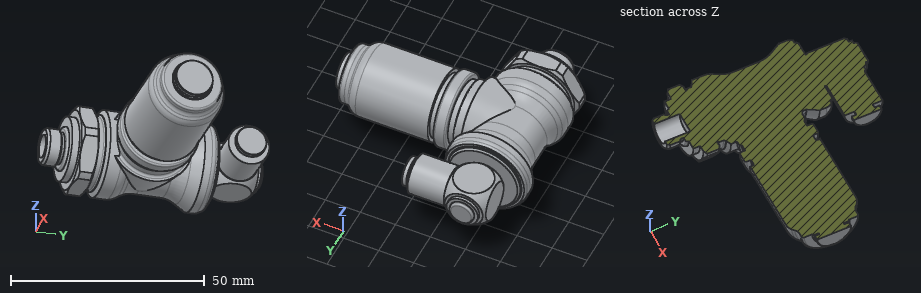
import cadquery as cq
import math


Y_AXIS = cq.Vector(0, 1, 0)
X_AXIS = cq.Vector(1, 0, 0)

head_radius = 11.95
base_radius = 11.45
waist_radius = 9.05
waist_bottom = -0.35
waist_top = 6.85
flare_angle = math.radians(30)
flare_blend_radius = 8.05
head_rim_bottom = 14.0
head_rim_top = 15.95
head_shoulder_radius = 11.2
head_shoulder_y = 17.85
head_blend_radius = 11.65
head_blend_y = 17.05
head_lip_root_radius = 10.5
head_lip_radius = 10.3
head_lip_y = 18.2
head_top_radius = 9.7
head_top = 18.7
base_top = -7.75
base_bottom = -11.3
base_round_radius = 4.25
base_cone_y = -12.0
base_end = -12.15
nut_neck_radius = 9.6
nut_neck_round = 0.5
nut_gap = 0.1
nut_gap_radius = 9.1

nut_top = -14.1
nut_bottom = -18.75
nut_flat_to_flat = 21.0
nut_corner_radius = 11.5
nut_face_radius = 10.45
nut_chamfer_angle = math.radians(30)
collar_radius = 8.5
collar_bottom = -20.7
seal_radius = 5.8
seal_bottom = -21.4
seal_round = 0.65
relief_radius = 4.25
relief_bottom = -21.95
thread_lead_in_y = -22.2
thread_end_radius = 4.3
thread_top = -22.55
thread_radius = 4.85
thread_chamfer_start = -25.5
stud_bottom = -26.2
bore_radius = 3.05
bore_depth = 7.3

elbow_half_width = 6.0
elbow_face_radius = 5.4
elbow_y = 24.5
elbow_collar_radius = 4.5
elbow_collar_top = 31.4
elbow_cap_radius = 3.45
elbow_cap_top = 32.35
elbow_cap_round = 0.55
tube_radius = 5.5
tube_end = 16.3
tube_neck_radius = 2.65
tube_ring_radius = 4.05
tube_ring_start = 17.3
tube_ring_end = 18.7

branch_cone_end = 10.2
branch_cone_radius = 11.1
branch_step_radius = 9.6
branch_step_round = 0.7
branch_step_end = 13.0
branch_neck_radius = 9.0
band_start = 14.8
band_end = 18.3
band_radius = 10.7
band_round = 0.5
sleeve_start = 20.0
sleeve_radius = 10.1
sleeve_round_start = 40.75
sleeve_cone_start = 42.9
sleeve_cone_start_radius = 9.4
sleeve_cone_length = 0.6
nose_start = 44.8
nose_radius = 8.2
nose_end = 46.6
nose_round = 0.55
end_disc_radius = 5.35
end_disc_end = 47.0
branch_end = 48.7
end_neck_radius = 3.65
end_ring_radius = 5.0
end_ring_start = 47.25
ring_chamfer = 0.1


def cylinder(axis, radius, start, end, origin=cq.Vector(0, 0, 0)):
    """Round bar along the axis, from start to end measured from the origin."""
    solid = cq.Solid.makeCylinder(radius, end - start, origin + axis * start, axis)
    return cq.Workplane(obj=solid)


def revolve_about_y(profile):
    return profile.close().revolve(360, (0, 0, 0), (0, 1, 0))


def revolve_about_x(profile):
    return profile.close().revolve(360, (0, 0, 0), (1, 0, 0))


def column_body():
    """Waisted body: both ends flare out of the waist through an arc and a cone."""
    blend_height = flare_blend_radius * math.sin(flare_angle)
    blend_rise = flare_blend_radius * (1 - math.cos(flare_angle))
    cone_root_radius = waist_radius + blend_rise
    round_height = base_round_radius * math.sin(flare_angle)
    round_drop = base_round_radius * (1 - math.cos(flare_angle))
    base_end_radius = nut_neck_radius + nut_neck_round
    profile = (
        cq.Workplane("XY")
        .moveTo(0, nut_top)
        .lineTo(nut_gap_radius, nut_top)
        .lineTo(nut_gap_radius, nut_top + nut_gap)
        .lineTo(nut_neck_radius, nut_top + nut_gap)
        .lineTo(nut_neck_radius, base_end - nut_neck_round)
        .tangentArcPoint((base_end_radius, base_end), relative=False)
        .lineTo(base_end_radius, base_cone_y)
        .lineTo(base_radius, base_bottom)
        .lineTo(base_radius, base_top)
        .tangentArcPoint((base_radius - round_drop, base_top + round_height), relative=False)
        .lineTo(cone_root_radius, waist_bottom - blend_height)
        .tangentArcPoint((waist_radius, waist_bottom), relative=False)
        .lineTo(waist_radius, waist_top)
        .tangentArcPoint((cone_root_radius, waist_top + blend_height), relative=False)
        .lineTo(head_radius, head_rim_bottom)
        .lineTo(head_radius, head_rim_top)
        .tangentArcPoint((head_blend_radius, head_blend_y), relative=False)
        .lineTo(head_shoulder_radius, head_shoulder_y)
        .lineTo(head_lip_root_radius, head_shoulder_y)
        .lineTo(head_lip_radius, head_lip_y)
        .lineTo(head_top_radius, head_top)
        .lineTo(0, head_top)
    )
    return revolve_about_y(profile)


def hex_nut():
    """Hexagon with flats facing +Z and -Z, trimmed by a round bar with chamfered ends."""
    corner_to_corner = nut_flat_to_flat / math.cos(math.pi / 6)
    nut_height = nut_top - nut_bottom
    chamfer_radial = nut_corner_radius - nut_face_radius
    chamfer_axial = chamfer_radial * math.tan(nut_chamfer_angle)
    hexagon = (
        cq.Workplane("XZ", origin=(0, nut_top, 0))
        .polygon(6, corner_to_corner)
        .extrude(nut_height)
    )
    trim_profile = (
        cq.Workplane("XY")
        .moveTo(0, nut_bottom)
        .lineTo(nut_face_radius, nut_bottom)
        .lineTo(nut_corner_radius, nut_bottom + chamfer_axial)
        .lineTo(nut_corner_radius, nut_top - chamfer_axial)
        .lineTo(nut_face_radius, nut_top)
        .lineTo(0, nut_top)
    )
    return hexagon.intersect(revolve_about_y(trim_profile))


def stud():
    """Collar, rounded seal and threaded end below the nut."""
    collar = cylinder(Y_AXIS, collar_radius, collar_bottom, nut_bottom)
    seal = cylinder(Y_AXIS, seal_radius, seal_bottom, collar_bottom).faces("<Y").edges().fillet(seal_round)
    thread_profile = (
        cq.Workplane("XY")
        .moveTo(0, stud_bottom)
        .lineTo(thread_end_radius, stud_bottom)
        .lineTo(thread_radius, thread_chamfer_start)
        .lineTo(thread_radius, thread_top)
        .lineTo(thread_end_radius, thread_lead_in_y)
        .lineTo(relief_radius, relief_bottom)
        .lineTo(relief_radius, seal_bottom)
        .lineTo(0, seal_bottom)
    )
    return collar.union(seal).union(revolve_about_y(thread_profile))


def elbow():
    """Cube with ball-rounded corners, a cap on top and a tube along +X."""
    center = cq.Vector(0, elbow_y, 0)
    ball_radius = math.hypot(elbow_half_width, elbow_face_radius)
    width = 2 * elbow_half_width
    cube = cq.Workplane("XY").box(width, width, width).intersect(cq.Workplane("XY").sphere(ball_radius))
    cube = cube.translate(center)
    cube_top = elbow_y + elbow_half_width
    collar = cylinder(Y_AXIS, elbow_collar_radius, cube_top, elbow_collar_top)
    cap = cylinder(Y_AXIS, elbow_cap_radius, elbow_collar_top, elbow_cap_top)
    cap = cap.faces(">Y").edges().fillet(elbow_cap_round)
    tube = cylinder(X_AXIS, tube_radius, elbow_half_width, tube_end, center)
    neck = cylinder(X_AXIS, tube_neck_radius, tube_end, tube_ring_start, center)
    ring = cylinder(X_AXIS, tube_ring_radius, tube_ring_start, tube_ring_end, center)
    ring = ring.faces("<X or >X").edges().chamfer(ring_chamfer)
    return cube.union(collar).union(cap).union(tube).union(neck).union(ring)


def branch():
    """Cone growing out of the waist, then a banded neck and a sleeve with a stepped nose."""
    sleeve_cone_end = sleeve_cone_start + sleeve_cone_length
    sleeve_cone_end_radius = sleeve_cone_start_radius - sleeve_cone_length
    quarter_arc = math.sqrt(0.5)
    step_center_x = branch_cone_end + branch_step_round
    step_center_radius = branch_step_radius + branch_step_round
    step_mid = (
        step_center_x - branch_step_round * quarter_arc,
        step_center_radius - branch_step_round * quarter_arc,
    )
    profile = (
        cq.Workplane("XY")
        .moveTo(0, 0)
        .lineTo(0, waist_radius)
        .lineTo(branch_cone_end, branch_cone_radius)
        .lineTo(branch_cone_end, step_center_radius)
        .threePointArc(step_mid, (step_center_x, branch_step_radius))
        .lineTo(branch_step_end, branch_step_radius)
        .lineTo(branch_step_end, branch_neck_radius)
        .lineTo(sleeve_start, branch_neck_radius)
        .lineTo(sleeve_start, sleeve_radius)
        .lineTo(sleeve_round_start, sleeve_radius)
        .tangentArcPoint((sleeve_cone_start, sleeve_cone_start_radius), relative=False)
        .lineTo(sleeve_cone_end, sleeve_cone_end_radius)
        .tangentArcPoint((nose_start, nose_radius), relative=False)
        .lineTo(nose_end - nose_round, nose_radius)
        .tangentArcPoint((nose_end, nose_radius - nose_round), relative=False)
        .lineTo(nose_end, 0)
    )
    body = revolve_about_x(profile)
    band = cylinder(X_AXIS, band_radius, band_start, band_end)
    band = band.faces("<X or >X").edges().fillet(band_round)
    end_disc = cylinder(X_AXIS, end_disc_radius, nose_end, end_disc_end)
    end_neck = cylinder(X_AXIS, end_neck_radius, end_disc_end, end_ring_start)
    end_ring = cylinder(X_AXIS, end_ring_radius, end_ring_start, branch_end)
    end_ring = end_ring.faces("<X or >X").edges().chamfer(ring_chamfer)
    return body.union(band).union(end_disc).union(end_neck).union(end_ring)


bore = cylinder(Y_AXIS, bore_radius, stud_bottom, stud_bottom + bore_depth)
result = column_body().union(branch()).union(hex_nut()).union(stud()).union(elbow()).cut(bore)